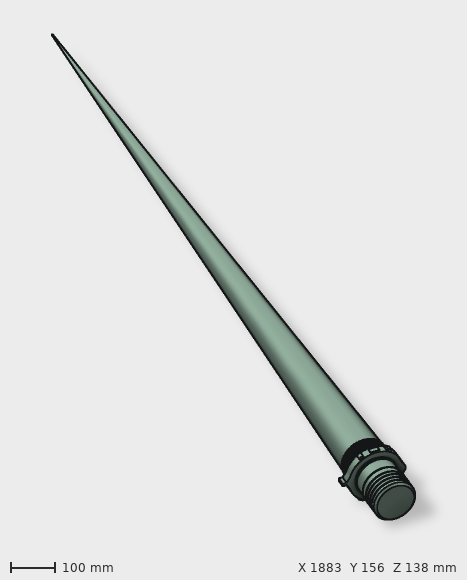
import cadquery as cq

tip_diameter = 2.8
shaft_end_diameter = 110.0
collar_start = 1708.0

collar_diameter = 111.0
collar_core_diameter = 105.0
knurl_band_length = 8.0
knurl_band_count = 3
knurl_band_gap = 4.0
knurl_slot_count = 48
knurl_slot_width = 4.0
shoulder_diameter = 115.0
shoulder_length = 10.0

flange_start = 1753.0
flange_length = 23.0
flange_diameter = 134.0
lug_root_radius = 56.0
lug_crest_length = 13.0
lug_width = 11.0
upright_lug_width = 23.0
top_lug_reach = 68.0
bottom_lug_reach = 70.0
slanted_lug_reach = 72.0
slanted_lug_angle = 60
wedge_root_radius = 64.0
wedge_root_width = 38.0
wedge_tip_width = 8.0
wedge_reach = 73.0
tab_reach = 83.0

spigot_end = 1883.0
spigot_diameter = 100.0
hub_diameter = 104.0
hub_length = 5.0
land_diameter = 104.0
land_starts = (1815.0, 1843.0, 1865.0)
land_ends = (1832.0, 1855.0, spigot_end)
end_chamfer = 5.0

flange_end = flange_start + flange_length
flange_middle = flange_start + flange_length / 2
shoulder_start = flange_start - shoulder_length


def cylinder(start, end, diameter):
    """Solid cylinder on the X axis."""
    return cq.Workplane("YZ", origin=(start, 0, 0)).circle(diameter / 2).extrude(end - start)


def turn(shape, angle):
    """Turn a shape about the X axis, from +Y towards +Z."""
    return shape.rotate((0, 0, 0), (1, 0, 0), angle)


def make_shaft():
    profile = [
        (0, 0),
        (0, tip_diameter / 2),
        (collar_start, shaft_end_diameter / 2),
        (collar_start, 0),
    ]
    return cq.Workplane("XY").polyline(profile).close().revolve(360, (0, 0, 0), (1, 0, 0))


def make_collar():
    """Bands and a shoulder on a plain core, cut into teeth by lengthwise slots."""
    collar = cylinder(collar_start, flange_start, collar_core_diameter)
    for band in range(knurl_band_count):
        band_start = collar_start + band * (knurl_band_length + knurl_band_gap)
        collar = collar.union(cylinder(band_start, band_start + knurl_band_length, collar_diameter))
    collar = collar.union(cylinder(shoulder_start, flange_start, shoulder_diameter))
    slot_depth = (shoulder_diameter - collar_core_diameter) / 2
    slot_centre_radius = (shoulder_diameter + collar_core_diameter) / 4
    slots = (
        cq.Workplane("YZ", origin=(collar_start, 0, 0))
        .polarArray(slot_centre_radius, 0, 360, knurl_slot_count)
        .rect(slot_depth, knurl_slot_width)
        .extrude(flange_start - collar_start)
    )
    return collar.cut(slots)


def make_lug(width, reach, angle):
    """Lug as long as the flange at its root and shorter at its crest."""
    profile = [
        (flange_start, 0),
        (flange_start, lug_root_radius),
        (flange_middle - lug_crest_length / 2, reach),
        (flange_middle + lug_crest_length / 2, reach),
        (flange_end, lug_root_radius),
        (flange_end, 0),
    ]
    lug = cq.Workplane("XY").polyline(profile).close().extrude(width / 2, both=True)
    return turn(lug, angle)


def make_wedge(angle):
    """Pointed side of the flange, over its full length."""
    profile = [
        (0, -wedge_root_width / 2),
        (wedge_root_radius, -wedge_root_width / 2),
        (wedge_reach, -wedge_tip_width / 2),
        (wedge_reach, wedge_tip_width / 2),
        (wedge_root_radius, wedge_root_width / 2),
        (0, wedge_root_width / 2),
    ]
    wedge = cq.Workplane("YZ", origin=(flange_start, 0, 0)).polyline(profile).close()
    return turn(wedge.extrude(flange_length), angle)


def make_flange():
    """Disc with six lugs, a wedge on each side and a thin tab on the -Y wedge."""
    flange = cylinder(flange_start, flange_end, flange_diameter)
    flange = flange.union(make_lug(upright_lug_width, top_lug_reach, 90))
    flange = flange.union(make_lug(upright_lug_width, bottom_lug_reach, -90))
    for side in (0, 180):
        flange = flange.union(make_wedge(side))
        for angle in (side - slanted_lug_angle, side + slanted_lug_angle):
            flange = flange.union(make_lug(lug_width, slanted_lug_reach, angle))
    tab = cq.Workplane("XY").box(flange_length, tab_reach, wedge_tip_width)
    return flange.union(tab.translate((flange_middle, -tab_reach / 2, 0)))


def make_spigot():
    """Cylinder with a root hub and three lands, chamfered at its free end."""
    spigot = cylinder(flange_end, spigot_end, spigot_diameter)
    spigot = spigot.union(cylinder(flange_end, flange_end + hub_length, hub_diameter))
    for start, end in zip(land_starts, land_ends):
        spigot = spigot.union(cylinder(start, end, land_diameter))
    return spigot.faces(">X").edges().chamfer(end_chamfer)


result = make_shaft().union(make_collar()).union(make_flange()).union(make_spigot())